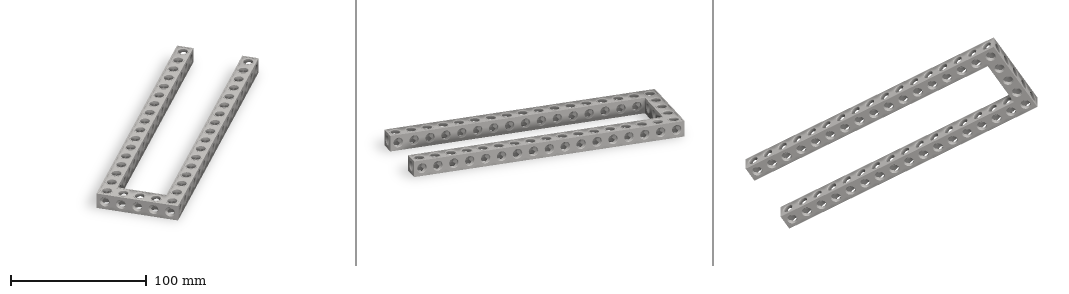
import cadquery as cq

length = 212.5
arm_hole_count = 17
base_hole_count = 5
hole_diameter = 7.0
mouth_diameter = 7.6
collar_diameter = 9.1
rim_width = 1.13
recess_depth = 0.2

pitch = length / arm_hole_count
width = base_hole_count * pitch
height = pitch
mid_height = height / 2
floor_z = height - recess_depth

hole_radius = hole_diameter / 2
mouth_radius = mouth_diameter / 2
bevel = mouth_radius - hole_radius

x_direction = cq.Vector(1, 0, 0)
y_direction = cq.Vector(0, 1, 0)
z_direction = cq.Vector(0, 0, 1)


def grid_places(count):
    """Centres of a row of grid cells."""
    return [(index + 0.5) * pitch for index in range(count)]


def u_prism(inset, bottom, top):
    """U-shaped prism whose walls all lie inside the frame's walls by the inset."""
    bar_inner = pitch - inset
    end_y = length - inset
    outline = [
        (inset, inset),
        (width - inset, inset),
        (width - inset, end_y),
        (width - bar_inner, end_y),
        (width - bar_inner, bar_inner),
        (bar_inner, bar_inner),
        (bar_inner, end_y),
        (inset, end_y),
    ]
    return cq.Workplane("XY").workplane(offset=bottom).polyline(outline).close().extrude(top - bottom)


def through_hole(start, direction, depth):
    """Cutting solids for a round hole bevelled at both ends."""
    origin = cq.Vector(*start)
    far_end = origin + direction * depth
    return [
        cq.Solid.makeCylinder(hole_radius, depth, origin, direction),
        cq.Solid.makeCone(mouth_radius, hole_radius, bevel, origin, direction),
        cq.Solid.makeCone(mouth_radius, hole_radius, bevel, far_end, -direction),
    ]


hole_x = grid_places(base_hole_count)
hole_y = grid_places(arm_hole_count)
base_y = hole_y[0]
arm_x = [hole_x[0], hole_x[-1]]

arm_points = [(x, y) for x in arm_x for y in hole_y]
base_points = [(x, base_y) for x in hole_x[1:-1]]
vertical_points = arm_points + base_points

frame = u_prism(0, 0, height).cut(u_prism(rim_width, floor_z, height))

collars = (
    cq.Workplane("XY")
    .workplane(offset=floor_z)
    .pushPoints(vertical_points)
    .circle(collar_diameter / 2)
    .extrude(recess_depth)
)
frame = frame.union(collars)

hole_tools = []

for x, y in vertical_points:
    hole_tools += through_hole((x, y, 0), z_direction, height)

hole_tools += through_hole((0, base_y, mid_height), x_direction, width)
for y in hole_y[1:]:
    for arm_left in (0, width - pitch):
        hole_tools += through_hole((arm_left, y, mid_height), x_direction, pitch)

for x in arm_x:
    hole_tools += through_hole((x, 0, mid_height), y_direction, length)
for x in hole_x[1:-1]:
    hole_tools += through_hole((x, 0, mid_height), y_direction, pitch)

result = cq.Workplane(frame.val().cut(*hole_tools)).solids()